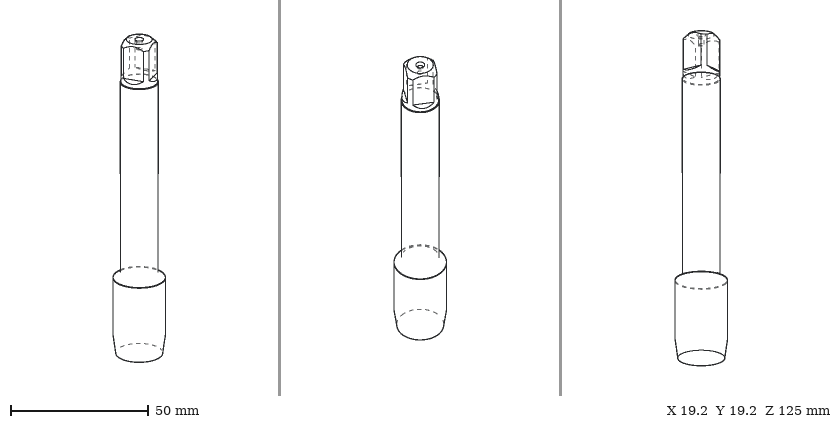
import cadquery as cq
import math

total_length = 125.0
cutting_length = 30.0
lead_length = 7.4

cutting_diameter = 19.2
lead_end_diameter = 17.2

shoulder_diameter = 19.1
shoulder_rim_height = 0.2
shoulder_slope = math.radians(30)
neck_fillet_radius = 1.4

neck_diameter = 13.8
shank_diameter = 14.0
collar_diameter = 13.5
neck_top = 71.4
shank_bottom = 72.0
shank_top = 108.0
shank_chamfer = (shank_diameter - collar_diameter) / 2

square_width = 11.0
flat_bottom = 111.0
ramp_rise = (collar_diameter - square_width) / 2
end_face_diameter = 9.5
end_chamfer = (collar_diameter - end_face_diameter) / 2

center_hole_diameter = 2.0
center_hole_depth = 3.8
countersink_diameter = 3.2
countersink_angle = math.radians(60)
drill_tip_angle = math.radians(118)


def make_cutting_portion():
    """Plain cylinder with a tapered lead at its lower end."""
    radius = cutting_diameter / 2
    profile = (
        cq.Workplane("XZ")
        .lineTo(lead_end_diameter / 2, 0)
        .lineTo(radius, lead_length)
        .lineTo(radius, cutting_length)
        .lineTo(0, cutting_length)
        .close()
    )
    return profile.revolve(360, (0, 0), (0, 1))


def make_round_shank():
    """Turned shape of the shank: shoulder, filleted neck, shank and chamfered end."""
    shoulder_radius = shoulder_diameter / 2
    neck_radius = neck_diameter / 2
    rim_top = cutting_length + shoulder_rim_height

    fillet_turn = math.pi / 2 - shoulder_slope
    fillet_center_radius = neck_radius + neck_fillet_radius
    fillet_foot_radius = fillet_center_radius - neck_fillet_radius * math.cos(fillet_turn)
    fillet_foot = rim_top + (shoulder_radius - fillet_foot_radius) * math.tan(shoulder_slope)
    fillet_top = fillet_foot + neck_fillet_radius * math.sin(fillet_turn)
    fillet_middle = (
        fillet_center_radius - neck_fillet_radius * math.cos(fillet_turn / 2),
        fillet_top - neck_fillet_radius * math.sin(fillet_turn / 2),
    )

    profile = (
        cq.Workplane("XZ")
        .moveTo(0, cutting_length)
        .lineTo(shoulder_radius, cutting_length)
        .lineTo(shoulder_radius, rim_top)
        .lineTo(fillet_foot_radius, fillet_foot)
        .threePointArc(fillet_middle, (neck_radius, fillet_top))
        .lineTo(neck_radius, neck_top)
        .lineTo(shank_diameter / 2, shank_bottom)
        .lineTo(shank_diameter / 2, shank_top)
        .lineTo(collar_diameter / 2, shank_top + shank_chamfer)
        .lineTo(collar_diameter / 2, total_length - end_chamfer)
        .lineTo(end_face_diameter / 2, total_length)
        .lineTo(0, total_length)
        .close()
    )
    return profile.revolve(360, (0, 0), (0, 1))


def make_flat_cutter():
    """Cutter for the drive flat on the +X side, with a ramp at its lower end."""
    inner = square_width / 2
    outer = collar_diameter / 2
    return (
        cq.Workplane("XZ")
        .moveTo(inner, flat_bottom)
        .lineTo(outer, flat_bottom - ramp_rise)
        .lineTo(outer, total_length)
        .lineTo(inner, total_length)
        .close()
        .extrude(collar_diameter / 2, both=True)
    )


def make_center_hole_cutter():
    """Countersunk center hole ending in a conical drill tip."""
    hole_radius = center_hole_diameter / 2
    countersink_radius = countersink_diameter / 2
    countersink_depth = (countersink_radius - hole_radius) / math.tan(countersink_angle / 2)
    tip_length = hole_radius / math.tan(drill_tip_angle / 2)
    tip_base = total_length - center_hole_depth
    profile = (
        cq.Workplane("XZ")
        .moveTo(0, tip_base - tip_length)
        .lineTo(hole_radius, tip_base)
        .lineTo(hole_radius, total_length - countersink_depth)
        .lineTo(countersink_radius, total_length)
        .lineTo(0, total_length)
        .close()
    )
    return profile.revolve(360, (0, 0), (0, 1))


def make_shank():
    """Shank with a square drive and a countersunk center hole."""
    shank = make_round_shank()
    flat_cutter = make_flat_cutter()
    for angle in (0, 90, 180, 270):
        shank = shank.cut(flat_cutter.rotate((0, 0, 0), (0, 0, 1), angle))
    return shank.cut(make_center_hole_cutter())


cutting_portion = make_cutting_portion()
shank = make_shank()

result = cq.Compound.makeCompound([cutting_portion.val(), shank.val()])